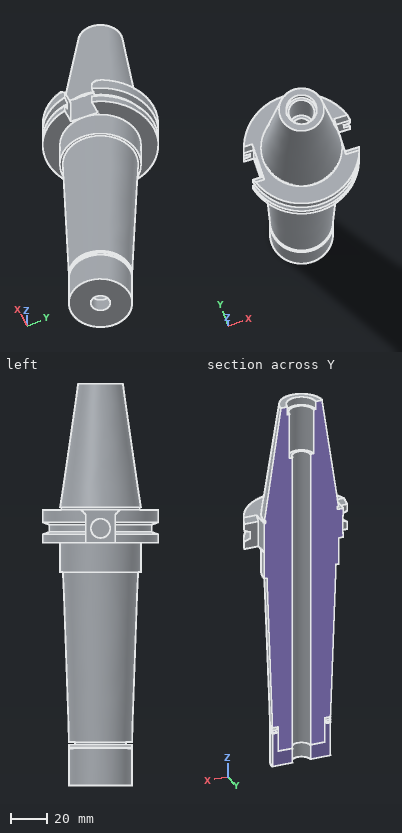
import cadquery as cq

TOTAL_LENGTH = 220.6
GAUGE_Z = 152.7
FLANGE_TOP_Z = 151.4
FLANGE_BOTTOM_Z = 133.3
NECK_BOTTOM_Z = 117.2
SHANK_BOTTOM_Z = 23.8
NUT_TOP_Z = 22.5

TAPER_TOP_RADIUS = 12.4
TAPER_RADIUS = 22.3
UNDERCUT_RADIUS = 21.6
FLANGE_RADIUS = 31.8
SHANK_TOP_RADIUS = 20.7
SHANK_BOTTOM_RADIUS = 17.5

GROOVE_Z = 141.2
GROOVE_ROOT_RADIUS = 28.2
GROOVE_ROOT_HEIGHT = 4.0
GROOVE_MOUTH_HEIGHT = 6.6

SLOT_WIDTH = 16.0
SLOT_CHAMFER = 2.6
LEFT_SLOT_FLOOR = 25.0
RIGHT_SLOT_FLOOR = 22.3
DIMPLE_RADIUS = 5.3
DIMPLE_DEPTH = 0.2
DIMPLE_Z = GROOVE_Z

ENTRY_RADIUS = 8.4
ENTRY_DEPTH = 4.9
THREAD_RADIUS = 7.0
THREAD_DEPTH = 32.0
BORE_RADIUS = 5.3

NUT_RADIUS = 17.5
NOSE_RADIUS = 14.1
NOSE_BOTTOM_Z = 8.8
NUT_GROOVE_Z = 20.7
NUT_GROOVE_HEIGHT = 0.55
NUT_GROOVE_RADIUS = 15.0


def cylinder(radius, bottom, top):
    return cq.Workplane("XY").workplane(offset=bottom).circle(radius).extrude(top - bottom)


def holder_blank():
    """Turned outside of the holder: nose, shank, neck, grooved flange and taper."""
    root = GROOVE_ROOT_HEIGHT / 2
    mouth = GROOVE_MOUTH_HEIGHT / 2
    outline = [
        (0, NOSE_BOTTOM_Z),
        (NOSE_RADIUS, NOSE_BOTTOM_Z),
        (NOSE_RADIUS, SHANK_BOTTOM_Z),
        (SHANK_BOTTOM_RADIUS, SHANK_BOTTOM_Z),
        (SHANK_TOP_RADIUS, NECK_BOTTOM_Z),
        (TAPER_RADIUS, NECK_BOTTOM_Z),
        (TAPER_RADIUS, FLANGE_BOTTOM_Z),
        (FLANGE_RADIUS, FLANGE_BOTTOM_Z),
        (FLANGE_RADIUS, GROOVE_Z - mouth),
        (GROOVE_ROOT_RADIUS, GROOVE_Z - root),
        (GROOVE_ROOT_RADIUS, GROOVE_Z + root),
        (FLANGE_RADIUS, GROOVE_Z + mouth),
        (FLANGE_RADIUS, FLANGE_TOP_Z),
        (UNDERCUT_RADIUS, FLANGE_TOP_Z),
        (UNDERCUT_RADIUS, GAUGE_Z),
        (TAPER_RADIUS, GAUGE_Z),
        (TAPER_TOP_RADIUS, TOTAL_LENGTH),
        (0, TOTAL_LENGTH),
    ]
    return cq.Workplane("XZ").polyline(outline).close().revolve(360, (0, 0), (0, 1))


def drive_slot(floor, side):
    """Cutter for one drive slot with chamfered top edges; side is -1 or +1 along X."""
    half = SLOT_WIDTH / 2
    section = [
        (-half, FLANGE_BOTTOM_Z),
        (half, FLANGE_BOTTOM_Z),
        (half, FLANGE_TOP_Z - SLOT_CHAMFER),
        (half + SLOT_CHAMFER, FLANGE_TOP_Z),
        (-half - SLOT_CHAMFER, FLANGE_TOP_Z),
        (-half, FLANGE_TOP_Z - SLOT_CHAMFER),
    ]
    start = cq.Workplane("YZ").workplane(offset=side * floor)
    return start.polyline(section).close().extrude(side * FLANGE_RADIUS)


def slot_dimple():
    """Shallow round recess in the floor of the -X slot."""
    floor = cq.Workplane("YZ").workplane(offset=-LEFT_SLOT_FLOOR)
    return floor.center(0, DIMPLE_Z).circle(DIMPLE_RADIUS).extrude(DIMPLE_DEPTH)


def make_holder():
    holder = holder_blank()
    holder = holder.cut(drive_slot(LEFT_SLOT_FLOOR, -1))
    holder = holder.cut(drive_slot(RIGHT_SLOT_FLOOR, 1))
    holder = holder.cut(slot_dimple())
    holder = holder.cut(cylinder(BORE_RADIUS, 0, TOTAL_LENGTH))
    holder = holder.cut(cylinder(THREAD_RADIUS, TOTAL_LENGTH - THREAD_DEPTH, TOTAL_LENGTH))
    return holder.cut(cylinder(ENTRY_RADIUS, TOTAL_LENGTH - ENTRY_DEPTH, TOTAL_LENGTH))


def make_nut():
    """Clamping nut with a socket for the holder nose and a fine groove near its top."""
    nut = cylinder(NUT_RADIUS, 0, NUT_TOP_Z)
    nut = nut.cut(cylinder(NOSE_RADIUS, NOSE_BOTTOM_Z, NUT_TOP_Z))
    nut = nut.cut(cylinder(BORE_RADIUS, 0, NOSE_BOTTOM_Z))
    groove_bottom = NUT_GROOVE_Z - NUT_GROOVE_HEIGHT / 2
    groove_top = groove_bottom + NUT_GROOVE_HEIGHT
    ring = cylinder(NUT_RADIUS, groove_bottom, groove_top)
    return nut.cut(ring.cut(cylinder(NUT_GROOVE_RADIUS, groove_bottom, groove_top)))


holder = make_holder()
nut = make_nut()
result = cq.Compound.makeCompound([holder.val(), nut.val()])